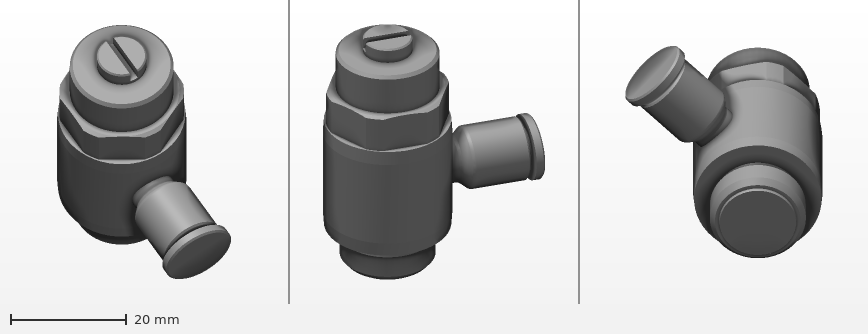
import cadquery as cq
import math

TOTAL_HEIGHT = 45.2
TOTAL_LENGTH = 37.85
BODY_RADIUS = 11.2
PORT_END = TOTAL_LENGTH - BODY_RADIUS

STEM_RADIUS = 8.3
STEM_CHAMFER_RADIUS = 7.4
STEM_CHAMFER_TOP = 1.63
STEM_SHOULDER = 5.55
LIP_RADIUS = 6.75
LIP_TIP_RADIUS = 6.6
LIP_HEIGHT = 0.55
RELIEF_RADIUS = 7.28
RELIEF_BOTTOM = 6.55
RELIEF_TOP = 7.1
RELIEF_FLARE_RADIUS = 7.5

BODY_BOTTOM = 7.6
BODY_TOP = 28.55
BODY_TAPER_HEIGHT = 2.55
BODY_TAPER_RADIUS = 11.05

HEX_TOP = 35.15
HEX_FLATS = 20.0
HEX_CORNER_RADIUS = 10.75
HEX_TURN = 30.0
HEX_CHAMFER_HEIGHT = 0.25

CAP_RADIUS = 9.0
CAP_TOP = 42.55
CAP_CHAMFER = 0.55
SCREW_RADIUS = 4.3
SCREW_CHAMFER = 0.25
SLOT_WIDTH = 1.5
SLOT_DEPTH = 1.95

PORT_HEIGHT = 18.13
PORT_NECK_RADIUS = 4.02
PORT_RADIUS = 5.6
PORT_CONE_START = 12.15
PORT_CONE_ANGLE = 40.0
PORT_CONE_FILLET = 0.9
PORT_SLEEVE_END = 24.25
PORT_SLEEVE_CHAMFER = 0.3

COLLAR_START = 25.0
COLLAR_HALF_WIDTH = 6.5
COLLAR_HALF_HEIGHT = 5.55
COLLAR_CHAMFER = 0.3
COLLAR_NECK_RADIUS = 3.75


def disc(radius, bottom, top):
    """Cylinder on the main axis between two heights."""
    return cq.Workplane("XY").workplane(offset=bottom).circle(radius).extrude(top - bottom)


def turned(profile):
    """Revolve (radius, height) points about the main axis."""
    outline = [(0, profile[0][1])] + profile + [(0, profile[-1][1])]
    return cq.Workplane("XZ").polyline(outline).close().revolve(360, (0, 0, 0), (0, 1, 0))


def stem():
    return turned([
        (LIP_TIP_RADIUS, 0),
        (LIP_RADIUS, LIP_HEIGHT),
        (STEM_CHAMFER_RADIUS, LIP_HEIGHT),
        (STEM_RADIUS, STEM_CHAMFER_TOP),
        (STEM_RADIUS, STEM_SHOULDER),
        (RELIEF_RADIUS, RELIEF_BOTTOM),
        (RELIEF_RADIUS, RELIEF_TOP),
        (RELIEF_FLARE_RADIUS, BODY_BOTTOM),
    ])


def body():
    return turned([
        (BODY_TAPER_RADIUS, BODY_BOTTOM),
        (BODY_RADIUS, BODY_BOTTOM + BODY_TAPER_HEIGHT),
        (BODY_RADIUS, BODY_TOP - BODY_TAPER_HEIGHT),
        (BODY_TAPER_RADIUS, BODY_TOP),
    ])


def hexagon():
    """Flats face +/-Y; the corners are turned down and chamfered on top."""
    corner_envelope = turned([
        (HEX_CORNER_RADIUS, BODY_TOP),
        (HEX_CORNER_RADIUS, HEX_TOP - HEX_CHAMFER_HEIGHT),
        (HEX_FLATS / 2, HEX_TOP),
    ])
    prism = (
        cq.Workplane("XY")
        .workplane(offset=BODY_TOP)
        .polygon(6, HEX_FLATS, circumscribed=True)
        .extrude(HEX_TOP - BODY_TOP)
        .rotate((0, 0, 0), (0, 0, 1), HEX_TURN)
    )
    return prism.intersect(corner_envelope)


def cap():
    return disc(CAP_RADIUS, HEX_TOP, CAP_TOP).faces(">Z").chamfer(CAP_CHAMFER)


def screw():
    head = disc(SCREW_RADIUS, CAP_TOP, TOTAL_HEIGHT).faces(">Z").chamfer(SCREW_CHAMFER)
    slot = (
        cq.Workplane("XY")
        .workplane(offset=TOTAL_HEIGHT - SLOT_DEPTH)
        .rect(2 * SCREW_RADIUS, SLOT_WIDTH)
        .extrude(SLOT_DEPTH)
    )
    return head.cut(slot)


def port_plane(x):
    """Work plane facing +X at the port axis; local x is Y and local y is Z."""
    return cq.Workplane("YZ", origin=(x, 0, PORT_HEIGHT))


def port():
    """Neck, flared cone and sleeve; the neck starts inside the body."""
    cone_length = (PORT_RADIUS - PORT_NECK_RADIUS) / math.tan(math.radians(PORT_CONE_ANGLE))
    cone_end = PORT_CONE_START + cone_length
    sleeve = (
        cq.Workplane("XZ", origin=(0, 0, PORT_HEIGHT))
        .polyline([
            (0, 0),
            (0, PORT_NECK_RADIUS),
            (PORT_CONE_START, PORT_NECK_RADIUS),
            (cone_end, PORT_RADIUS),
            (PORT_SLEEVE_END, PORT_RADIUS),
            (PORT_SLEEVE_END, 0),
        ])
        .close()
        .revolve(360, (0, 0, 0), (1, 0, 0))
    )
    sleeve = sleeve.faces(">X").chamfer(PORT_SLEEVE_CHAMFER)
    return sleeve.faces("%CONE").faces("<X").edges("%CIRCLE").fillet(PORT_CONE_FILLET)


def collar():
    neck = port_plane(PORT_SLEEVE_END).circle(COLLAR_NECK_RADIUS).extrude(COLLAR_START - PORT_SLEEVE_END)
    flange = (
        port_plane(COLLAR_START)
        .ellipse(COLLAR_HALF_WIDTH, COLLAR_HALF_HEIGHT)
        .extrude(PORT_END - COLLAR_START)
        .faces(">X")
        .chamfer(COLLAR_CHAMFER)
    )
    return neck.union(flange)


result = stem()
for section in (body(), hexagon(), cap(), screw(), port(), collar()):
    result = result.union(section)